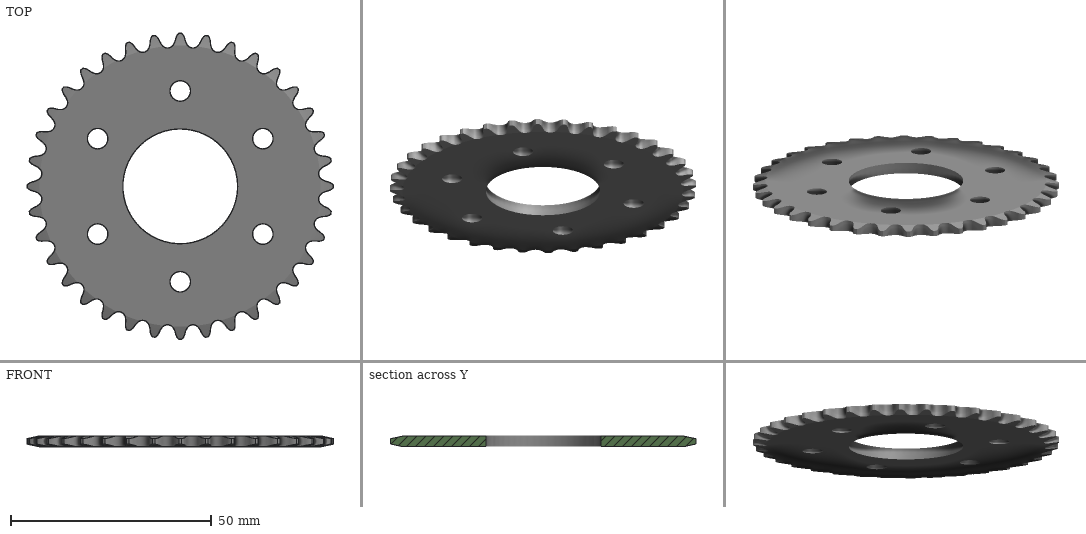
import cadquery as cq
import math

OUTER_DIAMETER = 76.45
THICKNESS = 2.75
BORE_DIAMETER = 28.6
HOLE_COUNT = 6
HOLE_DIAMETER = 5.05
HOLE_CIRCLE_DIAMETER = 47.6

TOOTH_COUNT = 36
CHAIN_PITCH = 6.35
ROLLER_DIAMETER = 3.3

BEVEL_START_RADIUS = 35.1
TIP_THICKNESS = 1.4

outer_radius = OUTER_DIAMETER / 2
half_thickness = THICKNESS / 2
half_tooth_angle = math.pi / TOOTH_COUNT
pitch_radius = CHAIN_PITCH / (2 * math.sin(half_tooth_angle))

SEATING_RADIUS_RATIO = 0.5125
WORKING_OFFSET_RATIO = 0.8
TOPPING_OFFSET_RATIO = 1.4
seating_angle = math.radians(35 + 60 / TOOTH_COUNT)
working_angle = math.radians(18 - 56 / TOOTH_COUNT)
topping_angle = math.radians(17 - 64 / TOOTH_COUNT)

seating_radius = SEATING_RADIUS_RATIO * ROLLER_DIAMETER
working_offset = WORKING_OFFSET_RATIO * ROLLER_DIAMETER
working_radius = seating_radius + working_offset
topping_offset = TOPPING_OFFSET_RATIO * ROLLER_DIAMETER
flank_length = topping_offset * math.sin(topping_angle) - working_offset * math.sin(working_angle)
topping_radius = (
    working_offset * math.cos(working_angle)
    + topping_offset * math.cos(topping_angle)
    - working_radius
)


def polar(center, radius, angle):
    """Point at a distance and angle (radians) from a center."""
    return (center[0] + radius * math.cos(angle), center[1] + radius * math.sin(angle))


def topping_end(center):
    """Angle on the topping arc at which it meets the outer circle, for a gap centered on +Y."""
    distance = math.hypot(center[0], center[1])
    cosine = (outer_radius**2 - distance**2 - topping_radius**2) / (2 * distance * topping_radius)
    outward = math.atan2(center[1], center[0])
    return outward + math.acos(cosine)


def gap_flank():
    """Arc and line points up the +X side of a tooth gap whose roller seat is centered on +Y."""
    seat = (0, pitch_radius)
    flank_angle = working_angle - seating_angle
    working_center = polar(seat, working_offset, math.pi - seating_angle)
    seat_end = polar(seat, seating_radius, -seating_angle)
    working_mid = polar(working_center, working_radius, -seating_angle + working_angle / 2)
    working_end = polar(working_center, working_radius, flank_angle)
    flank_end = polar(working_end, flank_length, flank_angle + math.pi / 2)
    topping_center = polar(flank_end, topping_radius, flank_angle)
    start_angle = flank_angle + math.pi
    end_angle = topping_end(topping_center)
    topping_mid = polar(topping_center, topping_radius, (start_angle + end_angle) / 2)
    tip = polar(topping_center, topping_radius, end_angle)
    return seat_end, working_mid, working_end, flank_end, topping_mid, tip


def toothed_outline():
    """Closed outline of all the teeth, with a tooth centered on +Y."""
    right_side = gap_flank()
    left_side = [(-x, y) for x, y in reversed(right_side)]
    seat_bottom = (0, pitch_radius - seating_radius)
    tip_middle = polar((0, 0), outer_radius, math.pi / 2 - half_tooth_angle)

    def turned(point, index):
        """Point of the gap on +Y moved to the gap with this index, counted clockwise."""
        turn = -(2 * index + 1) * half_tooth_angle
        return polar((0, 0), math.hypot(*point), math.atan2(point[1], point[0]) + turn)

    outline = cq.Workplane("XY").workplane(offset=-half_thickness).moveTo(*turned(left_side[0], 0))
    for index in range(TOOTH_COUNT):
        left = [turned(point, index) for point in left_side]
        right = [turned(point, index) for point in right_side]
        outline = (
            outline.threePointArc(left[1], left[2])
            .lineTo(*left[3])
            .threePointArc(left[4], left[5])
            .threePointArc(turned(seat_bottom, index), right[0])
            .threePointArc(right[1], right[2])
            .lineTo(*right[3])
            .threePointArc(right[4], right[5])
            .threePointArc(turned(tip_middle, index), turned(left_side[0], index + 1))
        )
    return outline.close()


def bevelled_disc():
    """Disc whose rim tapers on both faces, used to thin the teeth toward their tips."""
    half_tip = TIP_THICKNESS / 2
    taper = (half_thickness - half_tip) / (outer_radius - BEVEL_START_RADIUS)
    rim_margin = 0.8
    rim_radius = outer_radius + rim_margin
    half_rim = half_tip - taper * rim_margin
    section = [
        (0, -half_thickness),
        (BEVEL_START_RADIUS, -half_thickness),
        (rim_radius, -half_rim),
        (rim_radius, half_rim),
        (BEVEL_START_RADIUS, half_thickness),
        (0, half_thickness),
    ]
    return cq.Workplane("XZ").polyline(section).close().revolve(360, (0, 0), (0, 1))


sprocket = toothed_outline().extrude(THICKNESS).intersect(bevelled_disc())

bore = cq.Workplane("XY").circle(BORE_DIAMETER / 2).extrude(THICKNESS, both=True)

mounting_holes = (
    cq.Workplane("XY")
    .polarArray(HOLE_CIRCLE_DIAMETER / 2, 90, 360, HOLE_COUNT)
    .circle(HOLE_DIAMETER / 2)
    .extrude(THICKNESS, both=True)
)

result = sprocket.cut(bore).cut(mounting_holes)